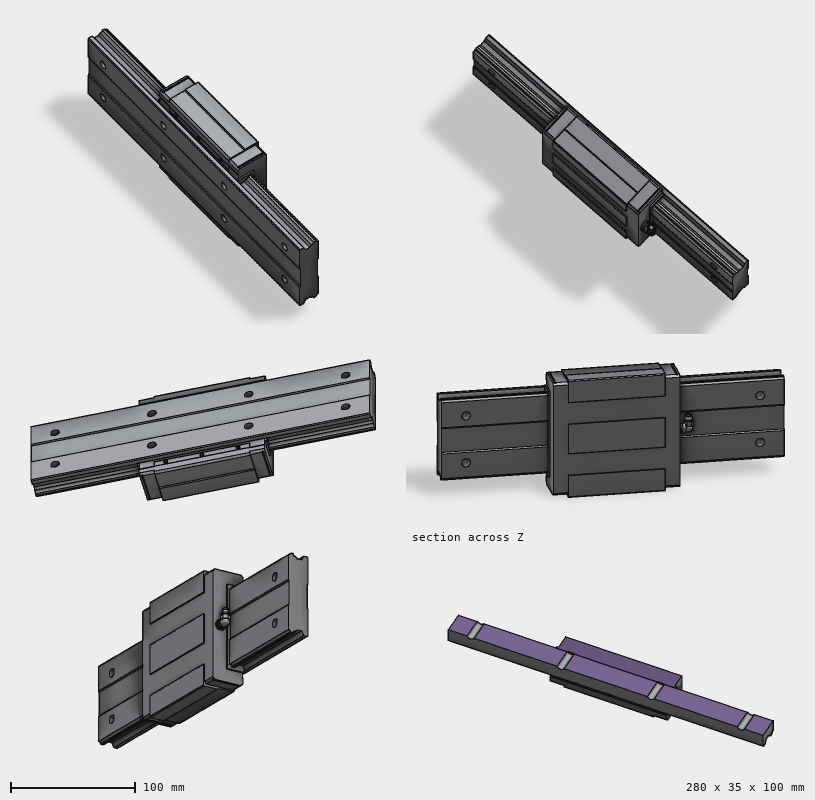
import cadquery as cq
import math


rail_length = 280.0
rail_height = 19.0
rail_half_width = 34.5
rail_edge_chamfer = 0.8
relief_half_width = 11.2
relief_depth = 0.8
relief_slope_run = 1.0
groove_half_width = 30.8
groove_bottom_y = 6.2
groove_top_y = 10.5
lip_top_y = 4.2
rail_top_half_width = 32.5
lower_race_start = (12.0, 32.5)
lower_race_middle = (13.5, 32.8)
lower_race_end_y = 14.3
upper_race_chamfer_y = 16.2
upper_race_start = (17.0, 34.0)
upper_race_middle = (17.5, 32.8)
rail_hole_diameter = 7.0
rail_hole_pitch = 80.0
rail_hole_count = 4
rail_hole_row_spacing = 40.0

overall_height = 35.0
block_length = 79.0
block_width = 100.0
carriage_bottom_y = 5.0
block_top_chamfer = 0.8
block_bottom_chamfer = 1.7
block_step_y = 20.7
block_step_depth = 0.8
block_step_slope_run = 0.8
top_recess_inner_z = 12.5
top_recess_outer_z = 31.0

cap_span = 103.5
cap_width = 95.8
cap_top_y = 34.0
cap_chamfer = 2.0
cap_groove_width = 0.8
cap_groove_depth = 0.5
cap_groove_inset = 1.7

seal_span = 106.7
seal_width = 73.0
seal_top_y = 20.7
seal_thickness = (seal_span - cap_span) / 2

strip_outer_z = 41.0
strip_inner_z = 35.0
leg_recess_depth = 0.5
strip_thickness = 0.3
strip_bottom_y = carriage_bottom_y + leg_recess_depth - strip_thickness
screw_diameter = 3.0
screw_head_height = 1.7
screw_head_chamfer = 0.7
screw_pitch = 30.0
screws_per_strip = 3
screw_z = 38.5

nipple_y = 27.2
nipple_base_corner_diameter = 9.2
nipple_base_thickness = seal_thickness
nipple_arm_diameter = 7.0
nipple_collar_length = 2.5
nipple_collar_diameter = 8.0
nipple_collar_gap = 1.5
nipple_elbow_x = -60.0
stem_hex_width = 6.7
stem_hex_bottom_z = 2.0
stem_hex_top_z = 6.0
stem_neck_diameter = 6.0
stem_head_bottom_z = 7.3
stem_head_diameter = 6.7
stem_tip_diameter = 5.0
stem_tip_bottom_z = 9.8
stem_tip_chamfer = 0.8
stem_top_z = 11.8


def extrude_along_x(outline, length):
    """Extrude a sketch drawn in the YZ plane, centred on X = 0."""
    return outline.extrude(length / 2, both=True)


def block_between(length, y_range, z_range):
    """Box centred on X = 0 that spans the given Y and Z ranges."""
    size_y = y_range[1] - y_range[0]
    size_z = z_range[1] - z_range[0]
    box = cq.Workplane("XY").box(length, size_y, size_z)
    return box.translate((0, sum(y_range) / 2, sum(z_range) / 2))


def with_mirror(half):
    """The shape together with its mirror image across Z = 0."""
    return half.union(half.mirror("XY"))


def rail_bar():
    """Rail without its holes: the +Z half of the section, extruded and mirrored."""
    relief_flat = relief_half_width - relief_slope_run
    half_section = (
        cq.Workplane("YZ")
        .moveTo(relief_depth, 0)
        .lineTo(relief_depth, relief_flat)
        .lineTo(0, relief_half_width)
        .lineTo(0, rail_half_width - rail_edge_chamfer)
        .lineTo(rail_edge_chamfer, rail_half_width)
        .lineTo(lip_top_y, rail_half_width)
        .lineTo(groove_bottom_y, groove_half_width)
        .lineTo(groove_top_y, groove_half_width)
        .lineTo(*lower_race_start)
        .threePointArc(lower_race_middle, (lower_race_end_y, rail_half_width))
        .lineTo(upper_race_chamfer_y, rail_half_width)
        .lineTo(*upper_race_start)
        .threePointArc(upper_race_middle, (rail_height, rail_top_half_width))
        .lineTo(rail_height, relief_half_width)
        .lineTo(rail_height - relief_depth, relief_flat)
        .lineTo(rail_height - relief_depth, 0)
        .close()
    )
    return with_mirror(extrude_along_x(half_section, rail_length))


def rail_holes():
    return (
        cq.Workplane("XZ")
        .rarray(rail_hole_pitch, rail_hole_row_spacing, rail_hole_count, 2)
        .circle(rail_hole_diameter / 2)
        .extrude(-rail_height)
    )


def steel_block():
    body = block_between(
        block_length, (carriage_bottom_y, overall_height), (-block_width / 2, block_width / 2)
    )
    body = body.faces(">Y").edges("|X").chamfer(block_top_chamfer)
    lower_half_width = block_width / 2 - block_step_depth
    side_step_outline = (
        cq.Workplane("YZ")
        .moveTo(carriage_bottom_y, lower_half_width)
        .lineTo(block_step_y, lower_half_width)
        .lineTo(block_step_y + block_step_slope_run, block_width / 2)
        .lineTo(carriage_bottom_y, block_width / 2)
        .close()
    )
    body = body.cut(with_mirror(extrude_along_x(side_step_outline, block_length)))
    body = body.faces("<Y").edges("|X").chamfer(block_bottom_chamfer)
    top_recess = block_between(
        block_length, (cap_top_y, overall_height), (top_recess_inner_z, top_recess_outer_z)
    )
    return body.cut(with_mirror(top_recess))


def end_caps():
    """One bar as long as both caps; the steel block covers its middle."""
    bar = block_between(cap_span, (carriage_bottom_y, cap_top_y), (-cap_width / 2, cap_width / 2))
    bar = bar.edges("|X").chamfer(cap_chamfer)
    groove_x = cap_span / 2 - cap_groove_inset - cap_groove_width / 2
    for side_x in (-groove_x, groove_x):
        groove = block_between(
            cap_groove_width,
            (carriage_bottom_y, cap_top_y),
            (cap_width / 2 - cap_groove_depth, cap_width / 2),
        )
        bar = bar.cut(with_mirror(groove.translate((side_x, 0, 0))))
    return bar


def end_seals():
    """Two thin plates, one on the outer face of each cap."""
    plate = block_between(
        seal_thickness, (carriage_bottom_y, seal_top_y), (-seal_width / 2, seal_width / 2)
    )
    plate_x = (cap_span + seal_thickness) / 2
    return plate.translate((-plate_x, 0, 0)).union(plate.translate((plate_x, 0, 0)))


def leg_recess():
    """Shallow step along the inner part of both legs."""
    recess_top_y = carriage_bottom_y + leg_recess_depth
    step = block_between(cap_span, (carriage_bottom_y, recess_top_y), (0, strip_outer_z))
    return with_mirror(step)


def retaining_strips():
    strip = block_between(
        block_length,
        (strip_bottom_y, strip_bottom_y + strip_thickness),
        (strip_inner_z, strip_outer_z),
    )
    return with_mirror(strip)


def strip_screws():
    heads = (
        cq.Workplane("XZ", origin=(0, strip_bottom_y, 0))
        .rarray(screw_pitch, 2 * screw_z, screws_per_strip, 2)
        .circle(screw_diameter / 2)
        .extrude(screw_head_height)
    )
    return heads.faces("<Y").edges().chamfer(screw_head_chamfer)


def build_carriage():
    body = steel_block().union(end_caps()).cut(leg_recess())
    body = body.union(end_seals()).union(retaining_strips()).union(strip_screws())
    return body.cut(rail_bar())


def nipple_base():
    """Hexagonal base against the cap face."""
    return (
        cq.Workplane("YZ", origin=(-cap_span / 2, nipple_y, 0))
        .polygon(6, nipple_base_corner_diameter)
        .extrude(-nipple_base_thickness)
    )


def nipple_arm():
    """Round arm along X with a collar and a ball end, revolved about its axis."""
    arm_radius = nipple_arm_diameter / 2
    collar_radius = nipple_collar_diameter / 2
    start_x = -cap_span / 2 - nipple_base_thickness
    collar_start_x = start_x - nipple_collar_gap
    collar_end_x = collar_start_x - nipple_collar_length
    ball_middle = arm_radius * math.sqrt(0.5)
    return (
        cq.Workplane("XY", origin=(0, nipple_y, 0))
        .moveTo(start_x, 0)
        .lineTo(start_x, arm_radius)
        .lineTo(collar_start_x, arm_radius)
        .lineTo(collar_start_x, collar_radius)
        .lineTo(collar_end_x, collar_radius)
        .lineTo(collar_end_x, arm_radius)
        .lineTo(nipple_elbow_x, arm_radius)
        .threePointArc(
            (nipple_elbow_x - ball_middle, ball_middle), (nipple_elbow_x - arm_radius, 0)
        )
        .close()
        .revolve(360, (0, 0, 0), (1, 0, 0))
    )


def nipple_stem():
    """Hexagon rising from the elbow ball, topped by a necked, tapered head."""
    hex_corner_diameter = stem_hex_width / math.cos(math.pi / 6)
    hexagon = (
        cq.Workplane("XY", origin=(nipple_elbow_x, nipple_y, stem_hex_bottom_z))
        .polygon(6, hex_corner_diameter)
        .extrude(stem_hex_top_z - stem_hex_bottom_z)
    )
    tip_radius = stem_tip_diameter / 2
    head = (
        cq.Workplane("XZ", origin=(nipple_elbow_x, nipple_y, 0))
        .moveTo(0, 0)
        .lineTo(stem_neck_diameter / 2, 0)
        .lineTo(stem_neck_diameter / 2, stem_head_bottom_z)
        .lineTo(stem_head_diameter / 2, stem_head_bottom_z)
        .lineTo(tip_radius, stem_tip_bottom_z)
        .lineTo(tip_radius, stem_top_z - stem_tip_chamfer)
        .lineTo(tip_radius - stem_tip_chamfer, stem_top_z)
        .lineTo(0, stem_top_z)
        .close()
        .revolve(360, (0, 0, 0), (0, 1, 0))
    )
    return hexagon.union(head)


rail = rail_bar().cut(rail_holes())
carriage = build_carriage()
grease_nipple = nipple_base().union(nipple_arm()).union(nipple_stem())

bodies = [rail, carriage, grease_nipple]
result = cq.Compound.makeCompound([body.solids().val() for body in bodies])